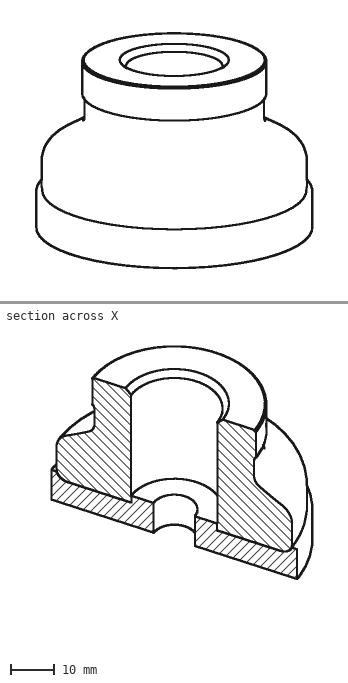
import cadquery as cq
import math

total_height = 40.0
cap_diameter = 63.0
cap_height = 8.9
cap_edge_radius = 0.2

shell_diameter = 60.5
neck_diameter = 41.0
collar_diameter = 42.0
shoulder_angle = math.radians(30)
shoulder_radius = 5.05
neck_blend_radius = 3.0
neck_bottom_z = 26.25
collar_bottom_z = 32.0
collar_chamfer = 0.4
collar_lower_chamfer = 0.2
undercut_radius = 1.95

foot_radius = 3.0
foot_round_top_z = 9.9
foot_z = foot_round_top_z - foot_radius

bore_diameter = 22.0
bore_chamfer = 1.45
through_hole_diameter = 10.5


def arc_point(center, radius, angle):
    """Point on a circle in the radial (r, z) plane."""
    return (center[0] + radius * math.cos(angle), center[1] + radius * math.sin(angle))


def make_cap(housing):
    """Round base disc with softened rims, a through hole and a seat for the housing foot."""
    disc = cq.Workplane("XY").circle(cap_diameter / 2).extrude(cap_height)
    disc = disc.edges().fillet(cap_edge_radius)
    hole = cq.Workplane("XY").circle(through_hole_diameter / 2).extrude(cap_height)
    return disc.cut(hole).cut(housing)


def make_housing():
    """Turned bell-shaped housing, open from top to bottom, with a rounded foot."""
    shell_r = shell_diameter / 2
    neck_r = neck_diameter / 2
    collar_r = collar_diameter / 2
    bore_r = bore_diameter / 2
    normal_angle = math.pi / 2 - shoulder_angle

    blend_center = (neck_r + neck_blend_radius, neck_bottom_z)
    blend_middle_angle = math.pi + normal_angle / 2
    blend_end = arc_point(blend_center, neck_blend_radius, math.pi + normal_angle)
    blend_middle = arc_point(blend_center, neck_blend_radius, blend_middle_angle)

    shoulder_end_r = shell_r - shoulder_radius * (1 - math.cos(normal_angle))
    shoulder_end_z = blend_end[1] - (shoulder_end_r - blend_end[0]) * math.tan(shoulder_angle)
    shell_top_z = shoulder_end_z - shoulder_radius * math.sin(normal_angle)
    shoulder_center = (shell_r - shoulder_radius, shell_top_z)
    shoulder_middle = arc_point(shoulder_center, shoulder_radius, normal_angle / 2)

    undercut_end_r = collar_r - collar_lower_chamfer
    undercut_end_z = collar_bottom_z - collar_lower_chamfer
    undercut_angle = math.acos(1 - (undercut_end_r - neck_r) / undercut_radius)
    neck_top_z = undercut_end_z - undercut_radius * math.sin(undercut_angle)
    undercut_center = (neck_r + undercut_radius, neck_top_z)
    undercut_middle = arc_point(undercut_center, undercut_radius, math.pi - undercut_angle / 2)

    foot_center = (shell_r - foot_radius, foot_round_top_z)
    foot_middle = arc_point(foot_center, foot_radius, -math.pi / 4)

    profile = (
        cq.Workplane("XZ")
        .moveTo(bore_r, foot_z)
        .lineTo(shell_r - foot_radius, foot_z)
        .threePointArc(foot_middle, (shell_r, foot_round_top_z))
        .lineTo(shell_r, shell_top_z)
        .threePointArc(shoulder_middle, (shoulder_end_r, shoulder_end_z))
        .lineTo(*blend_end)
        .threePointArc(blend_middle, (neck_r, neck_bottom_z))
        .lineTo(neck_r, neck_top_z)
        .threePointArc(undercut_middle, (undercut_end_r, undercut_end_z))
        .lineTo(collar_r, collar_bottom_z)
        .lineTo(collar_r, total_height - collar_chamfer)
        .lineTo(collar_r - collar_chamfer, total_height)
        .lineTo(bore_r + bore_chamfer, total_height)
        .lineTo(bore_r, total_height - bore_chamfer)
        .close()
    )
    return profile.revolve(360, (0, 0, 0), (0, 1, 0))


housing = make_housing()
cap = make_cap(housing)
result = cq.Compound.makeCompound([cap.val(), housing.val()])